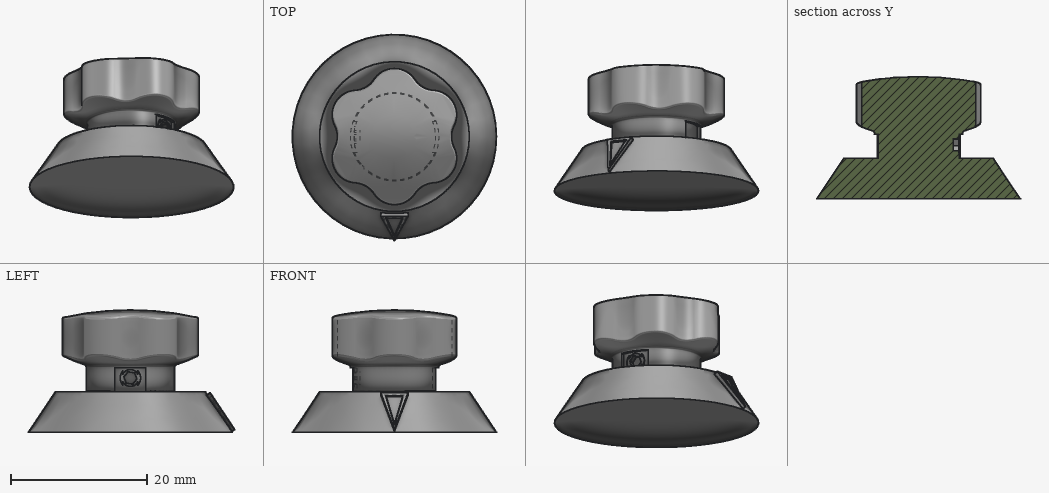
import cadquery as cq
import math

skirt_bottom_radius = 15.0
skirt_top_radius = 11.0
skirt_height = 6.0

total_height = 18.0
lobe_count = 6
lobe_tip_radius = 10.0
lobe_radius = 3.6
notch_radius = 3.6
head_bottom_z = 10.0
dome_radius = 45.0
underside_radius = 22.0
dome_edge_fillet = 0.35
underside_edge_fillet = 0.4

neck_radius = 6.5
neck_top_fillet = 0.4
neck_foot_round = 0.15

recess_width = 4.56
recess_floor_radius = 6.0
recess_top_z = 9.5

screw_z = 8.0
screw_radius = 1.5
screw_length = 3.0
screw_end_depth = 0.1
screw_hole_radius = 1.23
hex_across_corners = 1.95
hex_depth = 0.8
hex_turn = -9.0

pointer_width = 4.0
pointer_length = 6.5
pointer_start = 0.53
pointer_height = 0.5
pointer_root = 0.2
pocket_width = 2.5
pocket_length = 5.0
pocket_margin = 0.5
pocket_depth = 0.3


def polar(radius, degrees):
    angle = math.radians(degrees)
    return (radius * math.cos(angle), radius * math.sin(angle))


def make_skirt():
    return (
        cq.Workplane("XY")
        .circle(skirt_bottom_radius)
        .workplane(offset=skirt_height)
        .circle(skirt_top_radius)
        .loft(ruled=True)
    )


def make_head():
    half_pitch = 180.0 / lobe_count
    lobe_center = lobe_tip_radius - lobe_radius
    lobe_along, lobe_across = polar(lobe_center, half_pitch)
    center_gap = lobe_radius + notch_radius
    notch_center = lobe_along + math.sqrt(center_gap**2 - lobe_across**2)
    notch_floor_radius = notch_center - notch_radius

    notch_share = notch_radius / center_gap
    tangent_along = notch_center + (lobe_along - notch_center) * notch_share
    tangent_across = lobe_across * notch_share
    tangent_radius = math.hypot(tangent_along, tangent_across)
    tangent_angle = math.degrees(math.atan2(tangent_across, tangent_along))

    outline = cq.Workplane("XY", origin=(0, 0, head_bottom_z))
    outline = outline.moveTo(*polar(tangent_radius, -tangent_angle))
    for index in range(lobe_count):
        notch_angle = index * 2 * half_pitch
        next_notch_angle = notch_angle + 2 * half_pitch
        outline = outline.threePointArc(
            polar(notch_floor_radius, notch_angle),
            polar(tangent_radius, notch_angle + tangent_angle),
        )
        outline = outline.threePointArc(
            polar(lobe_tip_radius, notch_angle + half_pitch),
            polar(tangent_radius, next_notch_angle - tangent_angle),
        )
    head = outline.close().extrude(total_height - head_bottom_z)

    head = head.intersect(make_head_envelope())
    middle_z = (head_bottom_z + total_height) / 2
    upper_rim, lower_rim = [], []
    for edge in head.edges().vals():
        is_outside_neck = math.hypot(edge.Center().x, edge.Center().y) > neck_radius
        is_upright = edge.BoundingBox().zlen > lobe_radius
        if is_outside_neck and not is_upright:
            rim = upper_rim if edge.Center().z > middle_z else lower_rim
            rim.append(edge)
    solid = head.val().fillet(dome_edge_fillet, upper_rim)
    return cq.Workplane(solid.fillet(underside_edge_fillet, lower_rim))


def make_head_envelope():
    """Turned body between the domed top and the rounded underside of the head."""
    rim_radius = neck_radius + neck_top_fillet
    underside_center_z = head_bottom_z + math.sqrt(underside_radius**2 - rim_radius**2)
    outer_radius = 1.1 * lobe_tip_radius
    underside_outer_z = underside_center_z - math.sqrt(underside_radius**2 - outer_radius**2)
    dome_outer_z = total_height - dome_radius + math.sqrt(dome_radius**2 - outer_radius**2)
    return (
        cq.Workplane("XZ")
        .moveTo(0, head_bottom_z)
        .lineTo(rim_radius, head_bottom_z)
        .radiusArc((outer_radius, underside_outer_z), -underside_radius)
        .lineTo(outer_radius, dome_outer_z)
        .radiusArc((0, total_height), -dome_radius)
        .close()
        .revolve(360, (0, 0, 0), (0, 1, 0))
    )


def make_neck():
    foot_top_z = skirt_height + neck_foot_round
    top_fillet_z = head_bottom_z - neck_top_fillet
    return (
        cq.Workplane("XZ")
        .moveTo(0, skirt_height)
        .lineTo(neck_radius - neck_foot_round, skirt_height)
        .radiusArc((neck_radius, foot_top_z), -neck_foot_round)
        .lineTo(neck_radius, top_fillet_z)
        .radiusArc((neck_radius + neck_top_fillet, head_bottom_z), neck_top_fillet)
        .lineTo(0, head_bottom_z)
        .close()
        .revolve(360, (0, 0, 0), (0, 1, 0))
    )


def make_neck_recesses():
    recess_height = recess_top_z - skirt_height
    reach = 2 * (neck_radius + neck_top_fillet)
    bar = cq.Workplane("XY", origin=(0, 0, skirt_height)).rect(reach, recess_width).extrude(recess_height)
    core = cq.Workplane("XY", origin=(0, 0, skirt_height)).circle(recess_floor_radius).extrude(recess_height)
    return bar.cut(core)


def screw_plane(distance):
    """Plane facing -X, on the screw axis, at a distance from the Z axis."""
    return cq.Workplane(cq.Plane(origin=(-distance, 0, screw_z), xDir=(0, -1, 0), normal=(-1, 0, 0)))


def add_set_screw(body):
    screw_end = recess_floor_radius - screw_end_depth
    hole = screw_plane(screw_end).circle(screw_hole_radius).extrude(screw_end_depth)
    screw = screw_plane(screw_end - screw_length).circle(screw_radius).extrude(screw_length)
    socket = (
        screw_plane(screw_end - hex_depth)
        .transformed(rotate=(0, 0, hex_turn))
        .polygon(6, hex_across_corners)
        .extrude(hex_depth)
    )
    return body.cut(hole).union(screw).cut(socket)


def pointer_plane(height):
    """Plane parallel to the skirt slope at -Y; local +Y runs up the slope, origin at the top edge."""
    run = skirt_bottom_radius - skirt_top_radius
    slope_length = math.hypot(run, skirt_height)
    normal = (0, -skirt_height / slope_length, run / slope_length)
    origin = (0, -skirt_top_radius + normal[1] * height, skirt_height + normal[2] * height)
    return cq.Workplane(cq.Plane(origin=origin, xDir=(1, 0, 0), normal=normal))


def triangle_prism(base_height, thickness, start, width, length):
    corners = [(-width / 2, -start), (width / 2, -start), (0, -start - length)]
    return pointer_plane(base_height).polyline(corners).close().extrude(thickness)


def make_pointer():
    """The pointer is rooted in the skirt so that its wide end meets the curved slope."""
    return triangle_prism(
        -pointer_root, pointer_height + pointer_root, pointer_start, pointer_width, pointer_length
    )


def make_pointer_pocket():
    pocket_start = pointer_start + pocket_margin
    return triangle_prism(
        pointer_height - pocket_depth, pocket_depth, pocket_start, pocket_width, pocket_length
    )


body = make_skirt().union(make_neck()).union(make_head())
body = add_set_screw(body.cut(make_neck_recesses()))
result = body.union(make_pointer()).cut(make_pointer_pocket())